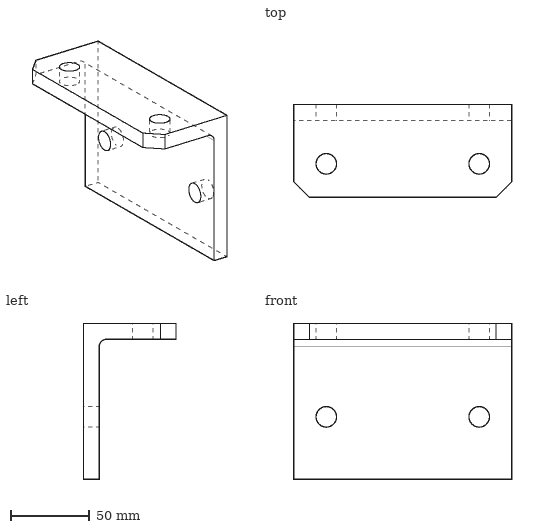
import cadquery as cq

length = 140.0
depth = 59.5
height = 100.0

thickness = 10.2
inner_fillet = 4.8
corner_chamfer = 10.1

hole_diameter = 13.0
hole_spacing = 98.0
wall_hole_height = 40.0
shelf_hole_from_back = 38.1

hole_positions_x = (-hole_spacing / 2, hole_spacing / 2)


def angle_body():
    """Upright wall with a shelf projecting toward -Y from its top edge."""
    wall = cq.Workplane("XY").box(length, thickness, height, centered=(True, False, False))
    wall = wall.translate((0, -thickness, 0))
    shelf = cq.Workplane("XY").box(length, depth, thickness, centered=(True, False, False))
    shelf = shelf.translate((0, -depth, height - thickness))
    return wall.union(shelf)


def round_inner_corner(body):
    inner_edge = cq.selectors.NearestToPointSelector((0, -thickness, height - thickness))
    return body.edges(inner_edge).fillet(inner_fillet)


def chamfer_shelf_corners(body):
    return body.faces("<Y").edges("|Z").chamfer(corner_chamfer)


def wall_holes():
    centres = [(x, wall_hole_height) for x in hole_positions_x]
    return cq.Workplane("XZ").pushPoints(centres).circle(hole_diameter / 2).extrude(thickness)


def shelf_holes():
    centres = [(x, -shelf_hole_from_back) for x in hole_positions_x]
    sketch = cq.Workplane("XY", origin=(0, 0, height)).pushPoints(centres)
    return sketch.circle(hole_diameter / 2).extrude(-thickness)


bracket = chamfer_shelf_corners(round_inner_corner(angle_body()))
result = bracket.cut(wall_holes()).cut(shelf_holes())